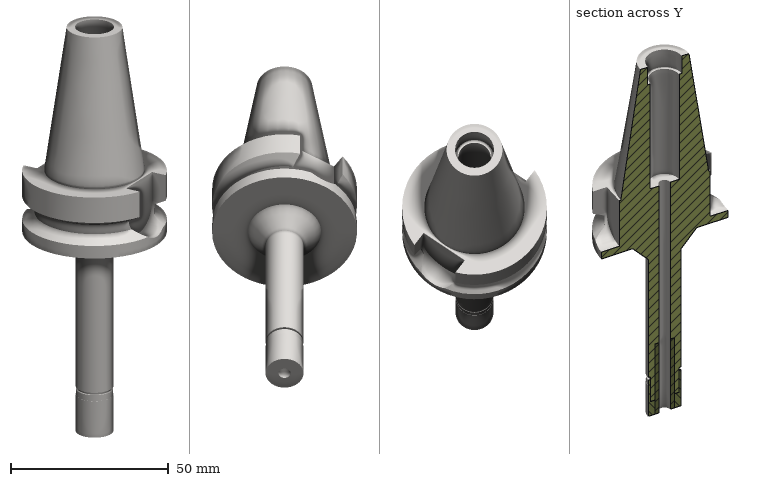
import cadquery as cq

shaft_radius = 12.0 / 2
spigot_radius = 10.7 / 2
spigot_bottom_z = 5.5
collet_radius = 3.5
collet_length = 27.7
passage_radius = 2.0

nut_length = 14.5
collar_height = 2.1
collar_radius = shaft_radius - 0.07

shaft_bottom_z = 15.4
cone_bottom_z = 62.1
flange_bottom_z = 68.4
lower_rim_top_z = 72.7
groove_bottom_z = 75.2
groove_top_z = 78.3
upper_rim_bottom_z = 80.5
flange_top_z = 89.3
taper_bottom_z = 90.0
holder_top_z = 138.4

cone_top_radius = 11.6
flange_radius = 46.0 / 2
groove_radius = 19.1
taper_bottom_radius = 15.9
taper_top_radius = 8.9

mouth_radius = 12.3 / 2
mouth_depth = 6.9
bore_radius = 10.4 / 2
bore_depth = 48.5

slot_floor_x = 16.5
slot_half_width = 8.0
slot_bottom_z = 71.3


def cylinder(radius, bottom_z, top_z):
    return cq.Workplane("XY").workplane(offset=bottom_z).circle(radius).extrude(top_z - bottom_z)


def make_drive_slot():
    """Round-bottomed slot cutter on the +X side, open at the flange top."""
    arc_centre_z = slot_bottom_z + slot_half_width
    return (
        cq.Workplane("YZ")
        .workplane(offset=slot_floor_x)
        .moveTo(-slot_half_width, flange_top_z)
        .lineTo(-slot_half_width, arc_centre_z)
        .threePointArc((0, slot_bottom_z), (slot_half_width, arc_centre_z))
        .lineTo(slot_half_width, flange_top_z)
        .close()
        .extrude(flange_radius)
    )


def make_holder():
    """Taper shank, grooved flange and slim shaft ending in a spigot for the nut."""
    profile = [
        (0, spigot_bottom_z),
        (spigot_radius, spigot_bottom_z),
        (spigot_radius, shaft_bottom_z),
        (shaft_radius, shaft_bottom_z),
        (shaft_radius, cone_bottom_z),
        (cone_top_radius, flange_bottom_z),
        (flange_radius, flange_bottom_z),
        (flange_radius, lower_rim_top_z),
        (groove_radius, groove_bottom_z),
        (groove_radius, groove_top_z),
        (flange_radius, upper_rim_bottom_z),
        (flange_radius, flange_top_z),
        (taper_bottom_radius, flange_top_z),
        (taper_bottom_radius, taper_bottom_z),
        (taper_top_radius, holder_top_z),
        (0, holder_top_z),
    ]
    body = cq.Workplane("XZ").polyline(profile).close().revolve(360, (0, 0), (0, 1))

    body = body.cut(cylinder(mouth_radius, holder_top_z - mouth_depth, holder_top_z))
    body = body.cut(cylinder(bore_radius, holder_top_z - bore_depth, holder_top_z))
    body = body.cut(cylinder(passage_radius, spigot_bottom_z, holder_top_z))
    body = body.cut(cylinder(collet_radius, spigot_bottom_z, collet_length))

    for angle in (0, 180):
        body = body.cut(make_drive_slot().rotate((0, 0, 0), (0, 0, 1), angle))
    return body


def make_nut():
    """Sleeve around the spigot and collet, with a slightly reduced collar on top."""
    collar_bottom_z = nut_length - collar_height
    body = cylinder(shaft_radius, 0, collar_bottom_z)
    body = body.union(cylinder(collar_radius, collar_bottom_z, nut_length))
    body = body.cut(cylinder(spigot_radius, spigot_bottom_z, nut_length))
    return body.cut(cylinder(collet_radius, 0, spigot_bottom_z))


def make_collet():
    """Straight sleeve seated in the nut and the shaft nose."""
    return cylinder(collet_radius, 0, collet_length).cut(cylinder(passage_radius, 0, collet_length))


holder = make_holder()
nut = make_nut()
collet = make_collet()

result = cq.Compound.makeCompound([holder.val(), nut.val(), collet.val()])